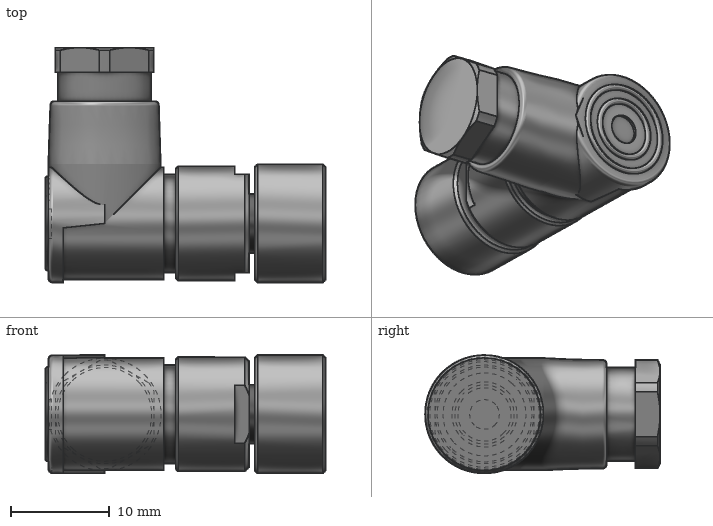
import cadquery as cq
import math


BODY_R = 11.4 / 2
BODY_END_X = 6.0
CAP_R = 12.0 / 2
RIDGE_R = 0.3
RIDGE_CENTRE_RADII = (3.0, 4.5)
CAP_FACE_X = -6.0 + RIDGE_R
CAP_LENGTH = 1.5
CAP_END_X = CAP_FACE_X + CAP_LENGTH
CAP_FILLET = 0.5
DIMPLE_R = 3.0 / 2
DIMPLE_DEPTH = 0.3
TIP_HALF_WIDTH = 2.3
TIP_SLOPE = 45
TONGUE_DROP = 0.45

NECK_R = 10.0 / 2
SLEEVE_R = 11.6 / 2
SLEEVE_START_X = 7.2
SLEEVE_END_X = 14.65
SLEEVE_REAR_CHAMFER = 0.25
SLEEVE_FRONT_CHAMFER = 0.45
FLAT_WIDTH = 10.0
FLAT_LENGTH = 1.45
STEM_R = 6.0 / 2
RING_R = 12.0 / 2
RING_START_X = 15.2
RING_END_X = 22.4
RING_CHAMFER = 0.3

BRANCH_STRAIGHT_Y = 6.0
BRANCH_END_Y = 12.4
BRANCH_END_R = 11.0 / 2
BRANCH_FILLET = 0.45
BRANCH_NECK_R = 9.5 / 2
HEX_START_Y = 15.3
HEX_END_Y = 17.8
HEX_SIDES = 6
HEX_ACROSS_FLATS = 10.0
HEX_CORNER_R = 11.0 / 2
HEX_CHAMFER_DEPTH = 0.25


def x_cylinder(radius, start, end):
    return cq.Workplane("YZ").workplane(offset=start).circle(radius).extrude(end - start)


def y_cylinder(radius, start, end):
    return cq.Workplane("XZ", origin=(0, start, 0)).circle(radius).extrude(start - end)


def make_branch():
    """Straight root inside the body, then a slight taper with a rounded end."""
    profile = [
        (0, 0),
        (BODY_R, 0),
        (BODY_R, BRANCH_STRAIGHT_Y),
        (BRANCH_END_R, BRANCH_END_Y),
        (0, BRANCH_END_Y),
    ]
    shell = cq.Workplane("XY").polyline(profile).close().revolve(360, (0, 0, 0), (0, 1, 0))
    shell = shell.faces(">Y").edges().fillet(BRANCH_FILLET)
    return shell.union(y_cylinder(BRANCH_NECK_R, BRANCH_STRAIGHT_Y, HEX_START_Y))


def make_hex_nut():
    """Hexagon with flats on +X and -X, turned corners and a chamfered outer end."""
    corner_diameter = HEX_ACROSS_FLATS / math.cos(math.pi / HEX_SIDES)
    length = HEX_END_Y - HEX_START_Y
    hexagon = (
        cq.Workplane("XZ", origin=(0, HEX_START_Y, 0))
        .transformed(rotate=(0, 0, 90))
        .polygon(HEX_SIDES, corner_diameter)
        .extrude(-length)
    )
    turned = y_cylinder(HEX_CORNER_R, HEX_START_Y, HEX_END_Y)
    chamfer_width = HEX_CORNER_R - HEX_ACROSS_FLATS / 2
    turned = turned.faces(">Y").chamfer(HEX_CHAMFER_DEPTH, chamfer_width)
    return hexagon.intersect(turned)


def make_cap():
    """Round cap on the -X end with two raised ridges."""
    cap = x_cylinder(CAP_R, CAP_FACE_X, CAP_END_X).faces("<X").edges().fillet(CAP_FILLET)
    for centre_radius in RIDGE_CENTRE_RADII:
        ridge = cq.Solid.makeTorus(
            centre_radius, RIDGE_R, cq.Vector(CAP_FACE_X, 0, 0), cq.Vector(1, 0, 0)
        )
        cap = cap.union(cq.Workplane(obj=ridge))
    return cap


def make_face_tip():
    """Pointed extension of the cap face that replaces the rim rounding beside the branch."""
    shoulder_y = math.sqrt((CAP_R - CAP_FILLET) ** 2 - TIP_HALF_WIDTH ** 2)
    outline = [
        (0, 0),
        (shoulder_y, -TIP_HALF_WIDTH),
        (CAP_R, 0),
        (shoulder_y, TIP_HALF_WIDTH),
    ]
    tip = (
        cq.Workplane("YZ")
        .workplane(offset=CAP_FACE_X)
        .polyline(outline)
        .close()
        .extrude(CAP_FILLET, taper=-TIP_SLOPE)
    )
    return tip.intersect(x_cylinder(CAP_R, CAP_FACE_X, CAP_END_X))


def make_tongue():
    """Part of the cap rim that runs on along the body up to the branch axis."""
    outline = [
        (CAP_END_X, -TONGUE_DROP),
        (0, 0),
        (0, CAP_R),
        (CAP_END_X, CAP_R),
    ]
    sector = cq.Workplane("XY").polyline(outline).close().extrude(CAP_R, both=True)
    return sector.intersect(x_cylinder(CAP_R, CAP_END_X, 0))


def make_sleeve():
    """Chamfered sleeve with two wrench flats at its +X end."""
    sleeve = x_cylinder(SLEEVE_R, SLEEVE_START_X, SLEEVE_END_X)
    sleeve = sleeve.faces("<X").chamfer(SLEEVE_REAR_CHAMFER)
    sleeve = sleeve.faces(">X").chamfer(SLEEVE_FRONT_CHAMFER)
    flat_depth = SLEEVE_R - FLAT_WIDTH / 2
    for side in (-1, 1):
        flat = cq.Workplane("XY").box(FLAT_LENGTH, flat_depth, 2 * SLEEVE_R).translate(
            (SLEEVE_END_X - FLAT_LENGTH / 2, side * (FLAT_WIDTH + flat_depth) / 2, 0)
        )
        sleeve = sleeve.cut(flat)
    return sleeve


def make_ring():
    return x_cylinder(RING_R, RING_START_X, RING_END_X).faces("<X or >X").chamfer(RING_CHAMFER)


def make_dimple():
    """Shallow round recess in the middle of the cap face."""
    return x_cylinder(DIMPLE_R, CAP_FACE_X, CAP_FACE_X + DIMPLE_DEPTH)


result = (
    x_cylinder(BODY_R, CAP_END_X, BODY_END_X)
    .union(make_branch())
    .union(make_tongue())
    .union(make_cap())
    .union(make_face_tip())
    .union(x_cylinder(NECK_R, BODY_END_X, SLEEVE_START_X))
    .union(make_sleeve())
    .union(x_cylinder(STEM_R, SLEEVE_END_X, RING_START_X))
    .union(make_ring())
    .union(make_hex_nut())
    .cut(make_dimple())
)